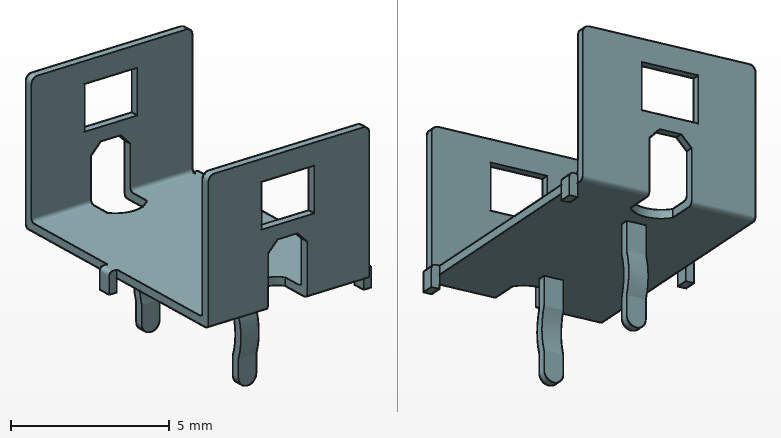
import cadquery as cq

thickness = 0.305
width = 9.6
overall_depth = 6.95
overall_height = 8.89
wall_height = 5.31
depth = overall_depth - 2 * thickness
bend_radius = 0.15
wall_corner_radius = 0.25
inner_width = width - 2 * thickness

opening_y = -0.05

window_width = 2.07
window_height = 1.65
window_top_gap = 0.8
window_y = -0.035

slot_width = 1.54
slot_top = 2.35
slot_shoulder = 1.96
slot_top_width = 0.78
slot_straight_reach = 1.16
slot_round_reach = 1.535

leg_pitch = 5.08
leg_width = 0.71
leg_length = overall_height - wall_height
bow_start = 1.03
bow_end = 2.55
bow_height = 0.13

tab_width = 0.5
tab_drop = 0.49
front_tab_x = -0.25
rear_tab_x = (inner_width - tab_width) / 2


def make_channel():
    """Floor with two upright walls, rounded at the bends and upper corners."""
    channel = cq.Workplane("XY").box(width, depth, wall_height, centered=(True, True, False))
    channel = channel.edges("|Y and <Z").fillet(bend_radius)
    channel = channel.edges("|X and >Z").fillet(wall_corner_radius)
    cavity = (
        cq.Workplane("XY", origin=(0, 0, thickness))
        .box(inner_width, depth, wall_height, centered=(True, True, False))
        .edges("|Y and <Z")
        .fillet(bend_radius)
    )
    return channel.cut(cavity)


def make_windows():
    """Bar that opens the window in both walls."""
    window_z = wall_height - window_top_gap - window_height / 2
    return cq.Workplane("XY", origin=(0, window_y, window_z)).box(2 * width, window_width, window_height)


def make_left_slot():
    """Cutter for the left wall slot and its round-ended floor opening."""
    outer_x = -width / 2
    half_slot = slot_width / 2
    half_top = slot_top_width / 2
    wall_slot = (
        cq.Workplane("YZ", origin=(outer_x, opening_y, 0))
        .moveTo(-half_slot, 0)
        .lineTo(-half_slot, slot_shoulder)
        .lineTo(-half_top, slot_top)
        .lineTo(half_top, slot_top)
        .lineTo(half_slot, slot_shoulder)
        .lineTo(half_slot, 0)
        .close()
        .extrude(thickness)
    )
    floor_slot = (
        cq.Workplane("XY", origin=(outer_x, opening_y, 0))
        .moveTo(0, -half_slot)
        .lineTo(slot_straight_reach, -half_slot)
        .threePointArc((slot_round_reach, 0), (slot_straight_reach, half_slot))
        .lineTo(0, half_slot)
        .close()
        .extrude(thickness + bend_radius)
    )
    return wall_slot.union(floor_slot)


def make_left_leg():
    """Leg bowed outward at mid length, with a semicircular tip."""
    outer_x = -thickness / 2
    inner_x = thickness / 2
    bow_middle = (bow_start + bow_end) / 2
    leg = (
        cq.Workplane("XZ", origin=(-leg_pitch / 2, opening_y, 0))
        .moveTo(outer_x, thickness / 2)
        .lineTo(outer_x, -bow_start)
        .threePointArc((outer_x - bow_height, -bow_middle), (outer_x, -bow_end))
        .lineTo(outer_x, -leg_length)
        .lineTo(inner_x, -leg_length)
        .lineTo(inner_x, -bow_end)
        .threePointArc((inner_x - bow_height, -bow_middle), (inner_x, -bow_start))
        .lineTo(inner_x, thickness / 2)
        .close()
        .extrude(leg_width / 2, both=True)
    )
    tip_radius = leg_width / 2
    tip_start = tip_radius - leg_length
    tip_outline = (
        cq.Workplane("YZ", origin=(-leg_pitch / 2, opening_y, 0))
        .moveTo(-tip_radius, thickness)
        .lineTo(-tip_radius, tip_start)
        .threePointArc((0, -leg_length), (tip_radius, tip_start))
        .lineTo(tip_radius, thickness)
        .close()
        .extrude(leg_width, both=True)
    )
    return leg.intersect(tip_outline)


def make_tab(center_x, side):
    """Tab outside the floor edge; side is -1 for the front and +1 for the rear."""
    center_y = side * (depth + thickness) / 2
    outer_top_edge = ">Y and >Z" if side > 0 else "<Y and >Z"
    return (
        cq.Workplane("XY", origin=(center_x, center_y, -tab_drop))
        .box(tab_width, thickness, tab_drop + thickness, centered=(True, True, False))
        .edges(outer_top_edge)
        .fillet(bend_radius)
    )


left_slot = make_left_slot()
left_leg = make_left_leg()

result = make_channel().cut(make_windows())
result = result.cut(left_slot).cut(left_slot.mirror("YZ"))
result = result.union(left_leg).union(left_leg.mirror("YZ"))
result = result.union(make_tab(front_tab_x, -1))
for tab_x in (-rear_tab_x, rear_tab_x):
    result = result.union(make_tab(tab_x, 1))